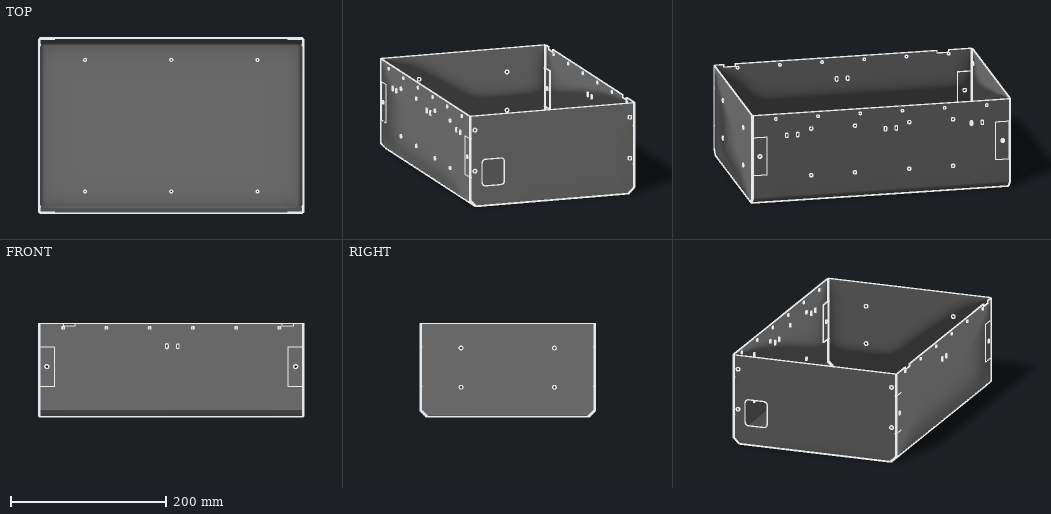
import cadquery as cq
import math


LENGTH = 341.5
WIDTH = 226.5
HEIGHT = 120.5
SHEET = 1.0
BEND_INNER = 1.0
BEND_OUTER = BEND_INNER + SHEET
BEVEL = 8.2
BEVEL_BEND_INNER = 1.5

WALL_END_SETBACK = 1.7
PLATE_SIDE_SETBACK = 2.0
PLATE_BEVEL_SETBACK = 2.5

HALF_LENGTH = LENGTH / 2
HALF_WIDTH = WIDTH / 2
FLOOR_HALF_WIDTH = HALF_WIDTH - BEVEL

TAB_HEIGHT = 51.0
TAB_LENGTH = 20.0
TAB_DEPTH_BELOW_RIM = 55.5
TAB_HOLE_DIAMETER = 4.8
TAB_HOLE_INSET = 10.5


RIM_HOLE_DIAMETER = 3.5
RIM_HOLE_COUNT = 6
RIM_HOLE_PITCH = 55.5
FRONT_RIM_HOLE_DEPTH = 5.5
BACK_RIM_HOLE_DEPTH = 6.5

SLOT_WIDTH = 3.5
SLOT_HEIGHT = 6.0
SLOT_DEPTH = 29.5
SLOT_PITCH = 14.5
FRONT_SLOT_PAIRS = [1.5]
BACK_SLOT_PAIRS = [-126.0, -12.5, 117.5]

BACK_HOLE_DIAMETER = 4.5
BACK_HOLE_XS = [-94.5, -37.0, 35.0, 92.5]
BACK_HOLE_DEPTHS = [22.5, 85.5]

NOTCH_LENGTH = 15.0
NOTCH_DEPTH = 3.5
NOTCH_STARTS = [-139.0, 142.5]

FLOOR_HOLE_DIAMETER = 3.5
FLOOR_HOLE_PITCH_X = 111.0
FLOOR_HOLE_Y = 84.7

END_HOLE_DIAMETER = 4.8
LEFT_HOLE_Y = 106.0
LEFT_HOLE_DEPTHS = [18.8, 73.0]
RIGHT_HOLE_Y = 60.0
RIGHT_HOLE_DEPTHS = [31.8, 82.3]

WINDOW_WIDTH = 30.5
WINDOW_HEIGHT = 35.2
WINDOW_RADIUS = 4.8
WINDOW_Y = 81.0
WINDOW_DEPTH = 76.0

CUT = 13.5


def box_between(low, high):
    """Axis-aligned box spanning two opposite corners."""
    size = [b - a for a, b in zip(low, high)]
    return cq.Workplane("XY").box(*size, centered=False).translate(low)


def bevelled_trough(offset, bend_radius):
    """Solid with the channel's section, its faces moved inwards by offset."""
    half = HALF_WIDTH - offset
    leg = BEVEL - (2 - math.sqrt(2)) * offset
    section = [
        (-half, HEIGHT),
        (-half, offset + leg),
        (-half + leg, offset),
        (half - leg, offset),
        (half, offset + leg),
        (half, HEIGHT),
    ]
    half_run = HALF_LENGTH - WALL_END_SETBACK
    solid = cq.Workplane("YZ").polyline(section).close().extrude(half_run, both=True)
    lower_edges = cq.selectors.BoxSelector(
        (-LENGTH, -WIDTH, -3.5), (LENGTH, WIDTH, HEIGHT / 2))
    return solid.edges("|X").edges(lower_edges).fillet(bend_radius)


def channel():
    """Front wall, bevels, floor and back wall, cleared for the end bends."""
    body = bevelled_trough(0, BEVEL_BEND_INNER + SHEET).cut(
        bevelled_trough(SHEET, BEVEL_BEND_INNER))
    bend_start = HALF_LENGTH - BEND_OUTER
    for low_x, high_x in ((-HALF_LENGTH, -bend_start), (bend_start, HALF_LENGTH)):
        body = body.cut(box_between(
            (low_x, -FLOOR_HALF_WIDTH, 0), (high_x, FLOOR_HALF_WIDTH, BEND_OUTER)))
    return body


def end_plates():
    """Floor strip folded up at both ends, with the lower corners bevelled."""
    def block(offset, bend_radius):
        return (
            box_between((-HALF_LENGTH + offset, -HALF_WIDTH, offset),
                        (HALF_LENGTH - offset, HALF_WIDTH, HEIGHT))
            .edges("|Y and <Z").fillet(bend_radius)
        )

    side = HALF_WIDTH - PLATE_SIDE_SETBACK
    foot = FLOOR_HALF_WIDTH - PLATE_BEVEL_SETBACK
    outline = [
        (-foot, 0), (foot, 0), (side, side - foot),
        (side, HEIGHT), (-side, HEIGHT), (-side, side - foot),
    ]
    limits = cq.Workplane("YZ").polyline(outline).close().extrude(HALF_LENGTH, both=True)
    return block(0, BEND_OUTER).cut(block(SHEET, BEND_INNER)).intersect(limits)


def tabs():
    """Four tabs with rounded bends, made as two nested rounded frames."""
    wall_inside = HALF_WIDTH - SHEET
    middle = HEIGHT - TAB_DEPTH_BELOW_RIM

    def block(offset, bend_radius):
        return (
            cq.Workplane("XY")
            .box(LENGTH - 2 * offset, 2 * (wall_inside - offset), TAB_HEIGHT)
            .edges("|Z").fillet(bend_radius)
            .translate((0, 0, middle))
        )

    frame = block(0, BEND_OUTER).cut(block(SHEET, BEND_INNER))
    between_tabs = cq.Workplane("XY").box(LENGTH - 2 * TAB_LENGTH, WIDTH, 2 * HEIGHT)
    return frame.cut(between_tabs)


def round_cutter(plane, center, diameter):
    """Short cylinder along the plane's normal, centred on a point."""
    return (
        cq.Workplane(plane, origin=center)
        .circle(diameter / 2).extrude(CUT / 2, both=True)
    )


def long_wall_cutters():
    """Holes, slots and notches of the front and back walls."""
    cutters = []
    tab_hole_x = HALF_LENGTH - TAB_HOLE_INSET
    walls = (
        (-HALF_WIDTH, FRONT_RIM_HOLE_DEPTH, FRONT_SLOT_PAIRS),
        (HALF_WIDTH, BACK_RIM_HOLE_DEPTH, BACK_SLOT_PAIRS),
    )
    for wall_y, rim_hole_depth, slot_pairs in walls:
        for x in (-tab_hole_x, tab_hole_x):
            center = (x, wall_y, HEIGHT - TAB_DEPTH_BELOW_RIM)
            cutters.append(round_cutter("XZ", center, TAB_HOLE_DIAMETER))
        for i in range(RIM_HOLE_COUNT):
            x = (i - (RIM_HOLE_COUNT - 1) / 2) * RIM_HOLE_PITCH
            center = (x, wall_y, HEIGHT - rim_hole_depth)
            cutters.append(round_cutter("XZ", center, RIM_HOLE_DIAMETER))
        for pair_x in slot_pairs:
            for x in (pair_x - SLOT_PITCH / 2, pair_x + SLOT_PITCH / 2):
                cutters.append(
                    cq.Workplane("XZ", origin=(x, wall_y, HEIGHT - SLOT_DEPTH))
                    .slot2D(SLOT_HEIGHT, SLOT_WIDTH, 90).extrude(CUT / 2, both=True)
                )
    for x in BACK_HOLE_XS:
        for depth in BACK_HOLE_DEPTHS:
            center = (x, HALF_WIDTH, HEIGHT - depth)
            cutters.append(round_cutter("XZ", center, BACK_HOLE_DIAMETER))
    for x in NOTCH_STARTS:
        cutters.append(box_between(
            (x, -HALF_WIDTH, HEIGHT - NOTCH_DEPTH),
            (x + NOTCH_LENGTH, -HALF_WIDTH + SHEET, HEIGHT)))
    return cutters


def floor_cutters():
    """Two rows of three holes through the floor."""
    return [
        round_cutter("XY", (column * FLOOR_HOLE_PITCH_X, y, 0), FLOOR_HOLE_DIAMETER)
        for column in (-1, 0, 1)
        for y in (-FLOOR_HOLE_Y, FLOOR_HOLE_Y)
    ]


def end_plate_cutters():
    """Four holes in each end plate and the window in the left one."""
    cutters = []
    plates = (
        (-HALF_LENGTH, LEFT_HOLE_Y, LEFT_HOLE_DEPTHS),
        (HALF_LENGTH, RIGHT_HOLE_Y, RIGHT_HOLE_DEPTHS),
    )
    for plate_x, hole_y, depths in plates:
        for y in (-hole_y, hole_y):
            for depth in depths:
                center = (plate_x, y, HEIGHT - depth)
                cutters.append(round_cutter("YZ", center, END_HOLE_DIAMETER))
    window = (
        cq.Workplane("XY").box(CUT, WINDOW_WIDTH, WINDOW_HEIGHT)
        .edges("|X").fillet(WINDOW_RADIUS)
        .translate((-HALF_LENGTH, WINDOW_Y, HEIGHT - WINDOW_DEPTH))
    )
    cutters.append(window)
    return cutters


result = channel().union(end_plates()).union(tabs())
for cutter in long_wall_cutters() + floor_cutters() + end_plate_cutters():
    result = result.cut(cutter)